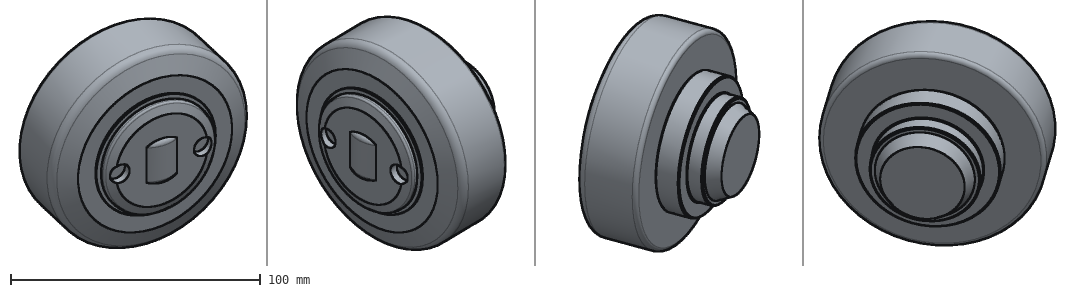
import cadquery as cq
import math


tip_radius = 17.2
cone_end_radius = 20.3
cone_length = 5.9
stub_radius = 45.0 / 2
shoulder_radius = 59.1 / 2
shoulder_x = 12.9
edge_chamfer = 0.55
neck_flare = 0.4

roller_radius = 46.15
roller_left_x = 23.6
roller_right_x = 53.7
left_rounding = 4.0 / 2
right_rounding = 7.8 / 2
roller_face_radius = 35.8
bevel_angle = math.radians(22.6)

ring_radius = 55.5 / 2
ring_end_x = 54.55
cap_radius = 52.0 / 2
cap_end_x = 59.1
cap_face_radius = 21.3
cap_rounding = 1.1
cap_bevel_angle = math.radians(20)

total_length = 60.9
pad_half_width = 7.75
pad_straight_half = 8.2
pad_end_radius = 4.5 / 2
pad_chord_x = total_length - pad_end_radius

pocket_diameter = 8.6
pocket_offset = 19.3
pocket_depth = 3.7


def rounded_bevel(outline, rim_radius, rounding, face_x, face_radius, angle):
    """Continue the outline along a rim, round a tangent arc and down a bevel to the end face."""
    arc_end_radius = rim_radius - rounding * (1 - math.sin(angle))
    arc_end_x = face_x - (arc_end_radius - face_radius) * math.tan(angle)
    center_x = arc_end_x - rounding * math.cos(angle)
    center_radius = rim_radius - rounding
    middle = (math.pi / 2 + angle) / 2
    middle_point = (
        center_x + rounding * math.cos(middle),
        center_radius + rounding * math.sin(middle),
    )
    return (
        outline.lineTo(center_x, rim_radius)
        .threePointArc(middle_point, (arc_end_x, arc_end_radius))
        .lineTo(face_x, face_radius)
    )


def turned_body():
    left_arc_middle = left_rounding * (1 - math.sqrt(0.5))
    outline = (
        cq.Workplane("XY")
        .lineTo(0, tip_radius)
        .lineTo(cone_length, cone_end_radius)
        .lineTo(cone_length, stub_radius - edge_chamfer)
        .lineTo(cone_length + edge_chamfer, stub_radius)
        .lineTo(shoulder_x - neck_flare, stub_radius)
        .lineTo(shoulder_x, stub_radius + neck_flare)
        .lineTo(shoulder_x, shoulder_radius - edge_chamfer)
        .lineTo(shoulder_x + edge_chamfer, shoulder_radius)
        .lineTo(roller_left_x - edge_chamfer, shoulder_radius)
        .lineTo(roller_left_x, shoulder_radius - edge_chamfer)
        .lineTo(roller_left_x, roller_radius - left_rounding)
        .threePointArc(
            (roller_left_x + left_arc_middle, roller_radius - left_arc_middle),
            (roller_left_x + left_rounding, roller_radius),
        )
    )
    outline = rounded_bevel(
        outline, roller_radius, right_rounding, roller_right_x, roller_face_radius, bevel_angle
    )
    outline = (
        outline.lineTo(roller_right_x, ring_radius)
        .lineTo(ring_end_x, ring_radius)
        .lineTo(ring_end_x, cap_radius - edge_chamfer)
        .lineTo(ring_end_x + edge_chamfer, cap_radius)
    )
    outline = rounded_bevel(
        outline, cap_radius, cap_rounding, cap_end_x, cap_face_radius, cap_bevel_angle
    )
    return outline.lineTo(cap_end_x, 0).close().revolve(360, (0, 0, 0), (1, 0, 0))


def pad_segment():
    return (
        cq.Workplane("XY")
        .moveTo(pad_chord_x, -pad_half_width)
        .threePointArc((total_length, 0), (pad_chord_x, pad_half_width))
        .close()
    )


def raised_pad():
    """Lens-shaped bar along Z whose two ends are turned about the chord of the lens."""
    pad = pad_segment().extrude(pad_straight_half, both=True)
    spindle = pad_segment().revolve(360, (pad_chord_x, 0, 0), (pad_chord_x, 1, 0))
    for end_z in (-pad_straight_half, pad_straight_half):
        pad = pad.union(spindle.translate((0, 0, end_z)))
    return pad


def cap_pockets():
    return (
        cq.Workplane("YZ", origin=(cap_end_x - pocket_depth, 0, 0))
        .pushPoints([(-pocket_offset, 0), (pocket_offset, 0)])
        .circle(pocket_diameter / 2)
        .extrude(pocket_depth)
    )


result = turned_body().cut(cap_pockets()).union(raised_pad())